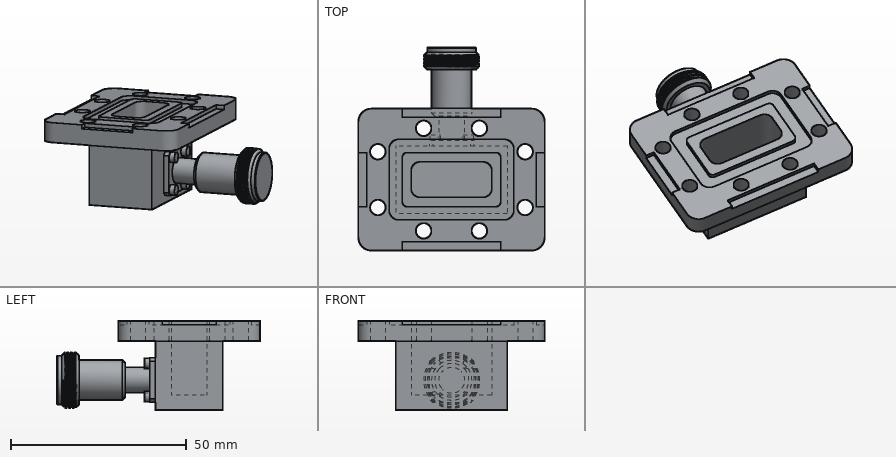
import cadquery as cq


FLANGE_X = 53.15
FLANGE_Y = 40.5
FLANGE_THICKNESS = 5.8
FLANGE_CORNER_RADIUS = 3.8
HOLE_DIAMETER = 4.35
HOLE_PITCH = 15.9
HOLE_OFFSET_X = 21.0
HOLE_OFFSET_Y = 14.6

ISLAND_X = 28.0
ISLAND_Y = 15.4
ISLAND_CORNER_RADIUS = 1.35
TRACK_X = 35.6
TRACK_Y = 23.0
TRACK_CORNER_RADIUS = 2.85
RECESS_DEPTH = 1.15
EDGE_NOTCH_DEPTH = 2.5

BLOCK_X = 31.75
BLOCK_Y = 19.2
OVERALL_HEIGHT = 25.45
CAVITY_X = 23.0
CAVITY_Y = 10.1
CAVITY_CORNER_RADIUS = 2.55
CAVITY_FLOOR = (BLOCK_X - CAVITY_X) / 2
CAVITY_DEPTH = OVERALL_HEIGHT - CAVITY_FLOOR

AXIS_Z = -16.85
BLOCK_FACE_Y = BLOCK_Y / 2
PLATE_SIDE = 12.75
PLATE_THICKNESS = 1.55
PLATE_CORNER_CHAMFER = 1.0
PLATE_FACE_Y = BLOCK_FACE_Y + PLATE_THICKNESS
SCREW_HEAD_DIAMETER = 3.0
SCREW_HEAD_LENGTH = 1.6
SCREW_PITCH = 9.5

OVERALL_LENGTH = 57.95
TIP_Y = OVERALL_LENGTH - FLANGE_Y / 2
NECK_RADIUS = 7.35 / 2
BODY_RADIUS = 11.4 / 2
BODY_CHAMFER = 0.85
BODY_START_Y = 18.15
TIP_RADIUS = 13.95 / 2
TIP_CHAMFER = 0.25
THREAD_ROOT_RADIUS = 15.0 / 2
THREAD_CREST_RADIUS = 15.95 / 2
COLLAR_START_Y = 31.35
COLLAR_END_Y = 36.3
THREAD_PITCH = 1.05
CREST_FLAT = 0.2
ROOT_FLAT = 0.2
CUTTER_CLEARANCE = 0.05
THREAD_BACK_GAP = 0.85
THREAD_FRONT_GAP = 0.45


def rounded_prism(size_x, size_y, depth, corner_radius):
    """Rounded rectangular prism hanging down from Z = 0."""
    prism = cq.Workplane("XY").rect(size_x, size_y).extrude(-depth)
    return prism.edges("|Z").fillet(corner_radius)


def edge_notches():
    """Four shallow notches, one centred on each side of the flange and as long as the island."""
    half_x = (FLANGE_X - EDGE_NOTCH_DEPTH) / 2
    half_y = (FLANGE_Y - EDGE_NOTCH_DEPTH) / 2
    end_notches = cq.Workplane("XY").pushPoints([(-half_x, 0), (half_x, 0)]).rect(EDGE_NOTCH_DEPTH, ISLAND_Y)
    side_notches = cq.Workplane("XY").pushPoints([(0, -half_y), (0, half_y)]).rect(ISLAND_X, EDGE_NOTCH_DEPTH)
    return end_notches.extrude(-RECESS_DEPTH).union(side_notches.extrude(-RECESS_DEPTH))


def hole_group(pitch_x, pitch_y):
    """Four through-hole cutters on the corners of a rectangle."""
    corners = cq.Workplane("XY").rect(pitch_x, pitch_y, forConstruction=True).vertices()
    return corners.circle(HOLE_DIAMETER / 2).extrude(-FLANGE_THICKNESS)


def make_flange():
    """Rounded plate with the sunken track, edge notches and eight bolt holes."""
    flange = rounded_prism(FLANGE_X, FLANGE_Y, FLANGE_THICKNESS, FLANGE_CORNER_RADIUS)
    track = rounded_prism(TRACK_X, TRACK_Y, RECESS_DEPTH, TRACK_CORNER_RADIUS)
    island = rounded_prism(ISLAND_X, ISLAND_Y, RECESS_DEPTH, ISLAND_CORNER_RADIUS)
    flange = flange.cut(track.cut(island)).cut(edge_notches())
    flange = flange.cut(hole_group(2 * HOLE_OFFSET_X, HOLE_PITCH))
    return flange.cut(hole_group(HOLE_PITCH, 2 * HOLE_OFFSET_Y))


def make_block():
    """Solid block below the flange."""
    top = cq.Workplane("XY").workplane(offset=-FLANGE_THICKNESS)
    return top.rect(BLOCK_X, BLOCK_Y).extrude(FLANGE_THICKNESS - OVERALL_HEIGHT)


def connector_plane(y):
    """Work plane across the connector axis at the given Y, facing +Y."""
    return cq.Workplane(cq.Plane(origin=(0, y, AXIS_Z), xDir=(1, 0, 0), normal=(0, 1, 0)))


def make_mount():
    """Square plate with chamfered corners and a screw head near each corner."""
    plate = (
        connector_plane(BLOCK_FACE_Y)
        .rect(PLATE_SIDE, PLATE_SIDE)
        .extrude(PLATE_THICKNESS)
        .edges("|Y")
        .chamfer(PLATE_CORNER_CHAMFER)
    )
    heads = (
        connector_plane(PLATE_FACE_Y)
        .rect(SCREW_PITCH, SCREW_PITCH, forConstruction=True)
        .vertices()
        .circle(SCREW_HEAD_DIAMETER / 2)
        .extrude(SCREW_HEAD_LENGTH)
    )
    return plate.union(heads)


def turned(profile):
    """Revolve a (radius, y) profile about the connector axis."""
    outline = cq.Workplane("XY").workplane(offset=AXIS_Z).polyline(profile).close()
    return outline.revolve(360, (0, 0, 0), (0, 1, 0))


def make_collar():
    """Coupling collar, chamfered at both ends, with a helical thread groove cut into it."""
    chamfer = THREAD_CREST_RADIUS - TIP_RADIUS
    blank = turned([
        (0, COLLAR_START_Y),
        (TIP_RADIUS, COLLAR_START_Y),
        (THREAD_CREST_RADIUS, COLLAR_START_Y + chamfer),
        (THREAD_CREST_RADIUS, COLLAR_END_Y - chamfer),
        (TIP_RADIUS, COLLAR_END_Y),
        (0, COLLAR_END_Y),
    ])
    return blank.cut(thread_groove())


def thread_groove():
    """Helical cutter whose trapezoidal section stands slightly proud of the thread crest."""
    outer_radius = THREAD_CREST_RADIUS + CUTTER_CLEARANCE
    outer_half = (THREAD_PITCH - CREST_FLAT) / 2
    root_half = ROOT_FLAT / 2
    length = COLLAR_END_Y - COLLAR_START_Y - THREAD_BACK_GAP - THREAD_FRONT_GAP
    path = cq.Wire.makeHelix(THREAD_PITCH, length, THREAD_ROOT_RADIUS)
    cutter = (
        cq.Workplane("XZ")
        .polyline([
            (THREAD_ROOT_RADIUS, -root_half),
            (outer_radius, -outer_half),
            (outer_radius, outer_half),
            (THREAD_ROOT_RADIUS, root_half),
        ])
        .close()
        .sweep(cq.Workplane(path), isFrenet=True)
    )
    return cutter.rotate((0, 0, 0), (1, 0, 0), -90).translate((0, COLLAR_START_Y + THREAD_BACK_GAP, AXIS_Z))


def make_barrel():
    """Turned connector: neck, chamfered body, threaded collar and plain tip."""
    barrel = turned([
        (0, PLATE_FACE_Y),
        (NECK_RADIUS, PLATE_FACE_Y),
        (NECK_RADIUS, BODY_START_Y),
        (BODY_RADIUS - BODY_CHAMFER, BODY_START_Y),
        (BODY_RADIUS, BODY_START_Y + BODY_CHAMFER),
        (BODY_RADIUS, COLLAR_END_Y),
        (TIP_RADIUS, COLLAR_END_Y),
        (TIP_RADIUS, TIP_Y - TIP_CHAMFER),
        (TIP_RADIUS - TIP_CHAMFER, TIP_Y),
        (0, TIP_Y),
    ])
    return barrel.union(make_collar())


cavity = rounded_prism(CAVITY_X, CAVITY_Y, CAVITY_DEPTH, CAVITY_CORNER_RADIUS)
waveguide = make_flange().union(make_block()).cut(cavity)
result = waveguide.union(make_mount()).union(make_barrel())